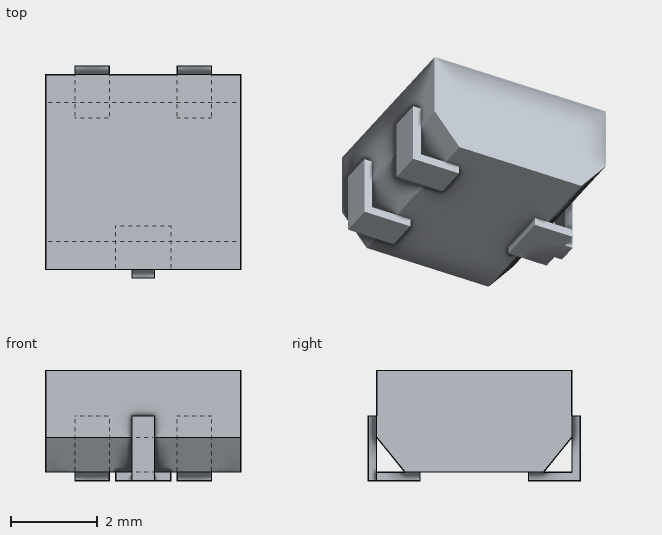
import cadquery as cq

body_size = 4.5
overall_height = 2.55
half_body = body_size / 2

bevel_depth = 0.65
bevel_height = 0.8

strip_thickness = 0.2
terminal_height = 1.5
foot_reach = 1.0

back_width = 0.8
back_spacing = 2.36

front_upright_width = 0.52
front_foot_width = 1.28


def make_body():
    """Square block standing on the feet, bevelled at the lower front and back."""
    bottom = strip_thickness
    bevel_top = bottom + bevel_height
    half_base = half_body - bevel_depth
    return (
        cq.Workplane("YZ")
        .moveTo(-half_base, bottom)
        .lineTo(half_base, bottom)
        .lineTo(half_body, bevel_top)
        .lineTo(half_body, overall_height)
        .lineTo(-half_body, overall_height)
        .lineTo(-half_body, bevel_top)
        .close()
        .extrude(half_body, both=True)
    )


def make_terminal(x_center, side, upright_width, foot_width):
    """L-shaped terminal; side is +1 for the back of the body, -1 for the front."""
    upright_y = side * (half_body + strip_thickness / 2)
    foot_y = side * (half_body - foot_reach / 2)
    upright = (
        cq.Workplane("XY")
        .box(upright_width, strip_thickness, terminal_height, centered=(True, True, False))
        .translate((x_center, upright_y, 0))
    )
    foot = (
        cq.Workplane("XY")
        .box(foot_width, foot_reach, strip_thickness, centered=(True, True, False))
        .translate((x_center, foot_y, 0))
    )
    return upright.union(foot)


result = make_body()
for x_side in (-1, 1):
    back_x = x_side * back_spacing / 2
    result = result.union(make_terminal(back_x, 1, back_width, back_width))
result = result.union(make_terminal(0, -1, front_upright_width, front_foot_width))